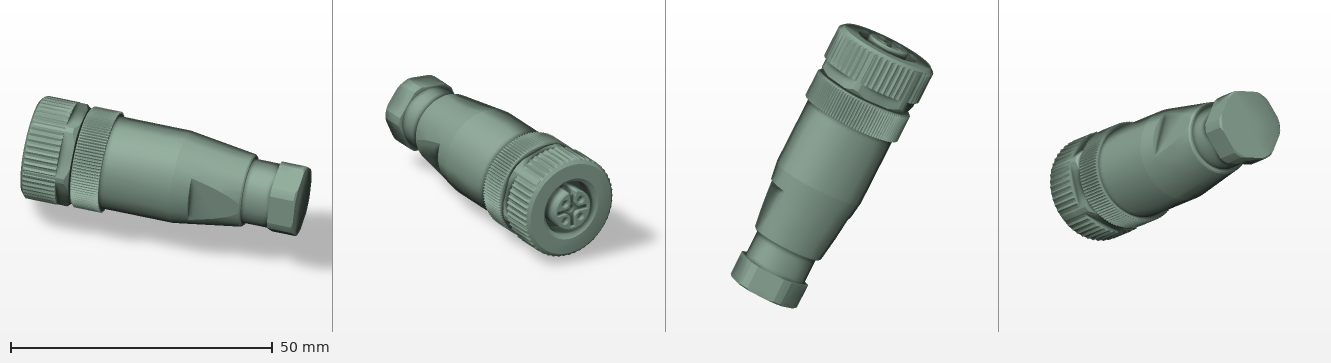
import cadquery as cq
import math

LENGTH = 54.0

INSERT_RADIUS = 4.1
INSERT_CHAMFER = 0.2
GROOVE_WIDTH = 1.15
GROOVE_LENGTH = 7.1
GROOVE_DEPTH = 0.95
GROOVE_CORNER_RADIUS = 1.0
CONTACT_OFFSET = 1.8
CONTACT_HOLE_DIAMETER = 1.1
CONTACT_SINK_DIAMETER = 1.7
CONTACT_HOLE_DEPTH = 3.25
KEYWAY_RADIUS = 0.65
KEYWAY_CENTRE = 3.45
KEYWAY_DEPTH = 4.3
KEYWAY_LIP_RADIUS = 0.45

NUT_START = 0.7
NUT_GRIP_END = 7.7
NUT_END = 10.15
NUT_FRONT_RADIUS = 9.25
NUT_FRONT_CHAMFER_LENGTH = 0.75
NUT_TIP_RADIUS = 10.1
NUT_ROOT_RADIUS = 9.8
NUT_TOOTH_COUNT = 52
NUT_TOOTH_SHARE = 0.65
NUT_SMOOTH_ANGLES = (135, 315)
NUT_HEX_APOTHEM = 8.85
NUT_HEX_RADIUS = 9.95
NUT_HEX_ANGLE = 15.0
NUT_HEX_CHAMFER = 0.75
RECESS_MOUTH_RADIUS = 12.5 / 2
RECESS_RADIUS = 5.45
RECESS_DEPTH = 5.4

NECK_RADIUS = 6.75
RING_START = 10.6
RING_END = 16.2
RING_CHAMFER = 0.4
RING_TIP_RADIUS = 19.7 / 2
RING_ROOT_RADIUS = 9.5
RING_TOOTH_COUNT = 104
RING_TOOTH_SHARE = 0.6

BODY_RADIUS = 18.0 / 2
TAPER_START = 30.15
TAPER_END = 43.6
TAPER_END_RADIUS = 7.1
TAPER_END_CHAMFER = 0.25
FLAT_START = 33.6
FLAT_DISTANCE = 7.0
FLAT_ANGLE = 15.0

SHANK_RADIUS = 12.5 / 2
REAR_HEX_START = 49.0
REAR_HEX_APOTHEM = 6.55
REAR_HEX_RADIUS = 14.2 / 2
REAR_HEX_ANGLE = -7.0
REAR_HEX_CHAMFER = 0.3


def section(x):
    """Cross-section plane at x: local X is -Y, local Y is Z, the normal is -X."""
    return cq.Workplane(cq.Plane(origin=(x, 0, 0), xDir=(0, -1, 0), normal=(-1, 0, 0)))


def rod(start, end, radius):
    return section(end).circle(radius).extrude(end - start)


def turned(points):
    """Solid of revolution about X through (x, radius) points; both ends close on the axis."""
    outline = [(points[0][0], 0)] + points + [(points[-1][0], 0)]
    return cq.Workplane("XY").polyline(outline).close().revolve(360, (0, 0, 0), (1, 0, 0))


def polar(radius, angle):
    return (radius * math.cos(math.radians(angle)), radius * math.sin(math.radians(angle)))


def knurl(start, end, tip_radius, root_radius, tooth_count, tooth_share, smooth_angles=()):
    """Cylinder with straight triangular teeth; angles run from -Y towards +Z.

    tooth_share is the part of each pitch that a tooth base covers. Teeth within one
    pitch of each of smooth_angles are left out.
    """
    pitch = 360 / tooth_count
    half_base = tooth_share * pitch / 2
    tooth_angles = [
        i * pitch for i in range(tooth_count)
        if all(abs(i * pitch - smooth) > pitch for smooth in smooth_angles)
    ]
    outline = section(end).moveTo(*polar(root_radius, -half_base))
    for angle, next_angle in zip(tooth_angles, tooth_angles[1:] + [360]):
        outline = outline.lineTo(*polar(tip_radius, angle))
        outline = outline.lineTo(*polar(root_radius, angle + half_base))
        outline = outline.threePointArc(
            polar(root_radius, (angle + next_angle) / 2),
            polar(root_radius, next_angle - half_base),
        )
    return outline.close().extrude(end - start)


def hexagon(start, end, apothem, corner_angle):
    """Hexagonal prism with one corner corner_angle degrees above -Y."""
    corner_diameter = 2 * apothem / math.cos(math.pi / 6)
    prism = section(end).polygon(6, corner_diameter).extrude(end - start)
    return prism.rotate((0, 0, 0), (-1, 0, 0), corner_angle)


def make_nut():
    hex_start = NUT_START + NUT_FRONT_CHAMFER_LENGTH
    grip = knurl(
        NUT_START, NUT_GRIP_END, NUT_TIP_RADIUS, NUT_ROOT_RADIUS,
        NUT_TOOTH_COUNT, NUT_TOOTH_SHARE, NUT_SMOOTH_ANGLES,
    )
    grip = grip.intersect(turned([
        (NUT_START, NUT_FRONT_RADIUS),
        (hex_start, NUT_TIP_RADIUS),
        (NUT_GRIP_END, NUT_TIP_RADIUS),
    ]))
    hex_body = hexagon(hex_start, NUT_END, NUT_HEX_APOTHEM, NUT_HEX_ANGLE)
    hex_body = hex_body.intersect(turned([
        (hex_start, NUT_HEX_RADIUS),
        (NUT_END - NUT_HEX_CHAMFER, NUT_HEX_RADIUS),
        (NUT_END, NUT_HEX_RADIUS - NUT_HEX_CHAMFER),
    ]))
    recess = turned([
        (NUT_START, RECESS_MOUTH_RADIUS),
        (NUT_START + RECESS_MOUTH_RADIUS - RECESS_RADIUS, RECESS_RADIUS),
        (RECESS_DEPTH, RECESS_RADIUS),
    ])
    return grip.union(hex_body).cut(recess)


def make_contact_hole(y, z, face_x):
    """Cutter for one countersunk contact hole that opens at face_x."""
    hole_radius = CONTACT_HOLE_DIAMETER / 2
    sink_radius = CONTACT_SINK_DIAMETER / 2
    return turned([
        (face_x, sink_radius),
        (face_x + sink_radius - hole_radius, hole_radius),
        (CONTACT_HOLE_DEPTH, hole_radius),
    ]).translate((0, y, z))


def make_cross_groove():
    """Cutter for the crossed grooves, with rounded corners where they meet."""
    cross = section(GROOVE_DEPTH).rect(GROOVE_LENGTH, GROOVE_WIDTH).extrude(GROOVE_DEPTH)
    cross = cross.union(section(GROOVE_DEPTH).rect(GROOVE_WIDTH, GROOVE_LENGTH).extrude(GROOVE_DEPTH))
    reach = GROOVE_WIDTH
    inner_corners = cq.selectors.BoxSelector((0, -reach, -reach), (GROOVE_DEPTH, reach, reach))
    return cross.edges("|X").edges(inner_corners).fillet(GROOVE_CORNER_RADIUS)


def make_keyed_core():
    """Insert cylinder with a round-bottomed keyway along its top and rounded keyway lips."""
    core = rod(0, RECESS_DEPTH, INSERT_RADIUS)
    channel = section(KEYWAY_DEPTH).center(0, KEYWAY_CENTRE).circle(KEYWAY_RADIUS).extrude(KEYWAY_DEPTH)
    opening = section(KEYWAY_DEPTH).center(0, KEYWAY_CENTRE + KEYWAY_RADIUS)
    opening = opening.rect(2 * KEYWAY_RADIUS, 2 * KEYWAY_RADIUS).extrude(KEYWAY_DEPTH)
    core = core.cut(channel.union(opening))
    lip_height = math.sqrt(INSERT_RADIUS**2 - KEYWAY_RADIUS**2)
    lips = cq.selectors.BoxSelector(
        (0, -2 * KEYWAY_RADIUS, lip_height - KEYWAY_RADIUS / 2),
        (KEYWAY_DEPTH, 2 * KEYWAY_RADIUS, lip_height + KEYWAY_RADIUS / 2),
    )
    core = core.edges("|X").edges(lips).fillet(KEYWAY_LIP_RADIUS)
    return core.faces("<X").chamfer(INSERT_CHAMFER)


def make_insert():
    insert = make_keyed_core().cut(make_cross_groove())
    insert = insert.cut(make_contact_hole(0, 0, GROOVE_DEPTH))
    for y in (-CONTACT_OFFSET, CONTACT_OFFSET):
        for z in (-CONTACT_OFFSET, CONTACT_OFFSET):
            insert = insert.cut(make_contact_hole(y, z, 0))
    return insert


def make_ring():
    ring = knurl(
        RING_START, RING_END, RING_TIP_RADIUS, RING_ROOT_RADIUS,
        RING_TOOTH_COUNT, RING_TOOTH_SHARE,
    )
    return ring.intersect(turned([
        (RING_START, RING_TIP_RADIUS - RING_CHAMFER),
        (RING_START + RING_CHAMFER, RING_TIP_RADIUS),
        (RING_END, RING_TIP_RADIUS),
    ]))


def make_body():
    body = turned([
        (RING_END, BODY_RADIUS),
        (TAPER_START, BODY_RADIUS),
        (TAPER_END - TAPER_END_CHAMFER, TAPER_END_RADIUS),
        (TAPER_END, TAPER_END_RADIUS - TAPER_END_CHAMFER),
    ])
    flat_length = TAPER_END - FLAT_START
    for side_angle in (0, 180):
        flat_cut = cq.Workplane("XY").box(
            flat_length, BODY_RADIUS, 2 * BODY_RADIUS, centered=(False, False, True)
        )
        flat_cut = flat_cut.translate((FLAT_START, -FLAT_DISTANCE - BODY_RADIUS, 0))
        body = body.cut(flat_cut.rotate((0, 0, 0), (-1, 0, 0), FLAT_ANGLE + side_angle))
    return body


def make_rear_hex():
    rear_hex = hexagon(REAR_HEX_START, LENGTH, REAR_HEX_APOTHEM, REAR_HEX_ANGLE)
    return rear_hex.intersect(turned([
        (REAR_HEX_START, REAR_HEX_RADIUS),
        (LENGTH - REAR_HEX_CHAMFER, REAR_HEX_RADIUS),
        (LENGTH, REAR_HEX_RADIUS - REAR_HEX_CHAMFER),
    ]))


neck = rod(NUT_END, RING_START, NECK_RADIUS)
shank = rod(TAPER_END, REAR_HEX_START, SHANK_RADIUS)

result = make_nut().union(make_insert()).union(neck).union(make_ring())
result = result.union(make_body()).union(shank).union(make_rear_hex())